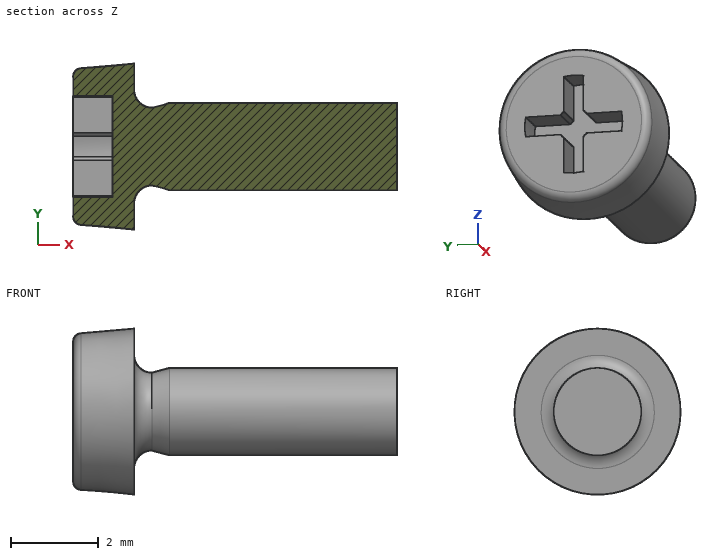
import cadquery as cq
import math

head_height = 1.4
shank_length = 6.0

head_diameter = 3.8
head_draft_angle = 5.0
head_edge_radius = 0.2

shank_diameter = 2.0
neck_fillet_radius = 0.4
neck_taper_length = 0.4
neck_taper_angle = 15.0

recess_diameter = 2.3
recess_arm_width = 0.46
recess_corner_chamfer = 0.08
recess_depth = 0.9

head_radius = head_diameter / 2
face_radius = head_radius - head_height * math.tan(math.radians(head_draft_angle))
shank_radius = shank_diameter / 2
neck_radius = shank_radius - neck_taper_length * math.tan(math.radians(neck_taper_angle))
taper_end = neck_fillet_radius + neck_taper_length


def make_body():
    """Revolve the half profile of head, neck and shank about the X axis."""
    diagonal_offset = neck_fillet_radius * (1 - math.sqrt(0.5))
    fillet_middle = (diagonal_offset, neck_radius + diagonal_offset)
    body = (
        cq.Workplane("XZ")
        .moveTo(-head_height, 0)
        .lineTo(-head_height, face_radius)
        .lineTo(0, head_radius)
        .lineTo(0, neck_radius + neck_fillet_radius)
        .threePointArc(fillet_middle, (neck_fillet_radius, neck_radius))
        .lineTo(taper_end, shank_radius)
        .lineTo(shank_length, shank_radius)
        .lineTo(shank_length, 0)
        .close()
        .revolve(360, (0, 0, 0), (1, 0, 0))
    )
    return body.faces("<X").edges().fillet(head_edge_radius)


def make_recess():
    """Cross-shaped cutter with chamfered inner corners and arm ends on a circle."""
    face_plane = cq.Workplane("YZ", origin=(-head_height, 0, 0))
    horizontal_arm = face_plane.rect(recess_diameter, recess_arm_width).extrude(recess_depth)
    vertical_arm = face_plane.rect(recess_arm_width, recess_diameter).extrude(recess_depth)
    cross = horizontal_arm.union(vertical_arm)

    inner_reach = recess_arm_width
    inner_corners = cq.selectors.BoxSelector(
        (-head_height, -inner_reach, -inner_reach),
        (shank_length, inner_reach, inner_reach),
    )
    cross = cross.edges("|X").edges(inner_corners).chamfer(recess_corner_chamfer)

    envelope = face_plane.circle(recess_diameter / 2).extrude(recess_depth)
    return cross.intersect(envelope)


result = make_body().cut(make_recess())